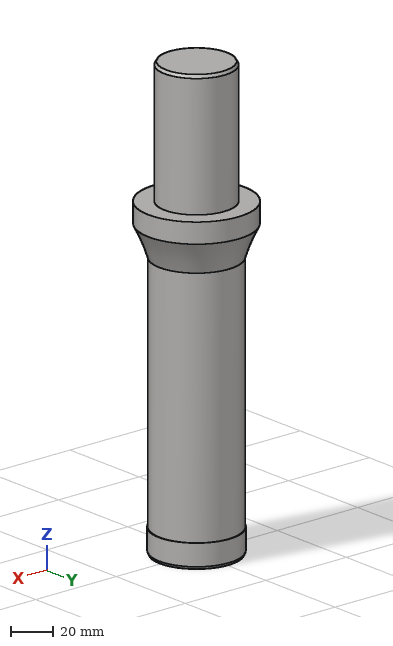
import cadquery as cq

total_height = 246.0
flange_radius = 30.0

rod_radius = 20.0
rod_length = 69.9
rod_chamfer_height = 1.7
rod_chamfer_inset = 1.0

flange_thickness = 11.0
neck_height = 17.0
neck_hollow = 0.5

shaft_diameter = 46.0
shaft_radius = shaft_diameter / 2
cap_radius = 23.4
cap_height = 13.3
cap_chamfer_height = 1.5
cap_chamfer_inset = 0.7

flange_top = total_height - rod_length
flange_bottom = flange_top - flange_thickness
neck_bottom = flange_bottom - neck_height


def make_post():
    """Revolved post: rod, flange, concave neck and shaft, standing on the cap."""
    neck_mid_radius = (flange_radius + shaft_radius) / 2 - neck_hollow
    neck_mid_level = (flange_bottom + neck_bottom) / 2
    return (
        cq.Workplane("XZ")
        .moveTo(shaft_radius, neck_bottom)
        .lineTo(shaft_radius, cap_height)
        .lineTo(0, cap_height)
        .lineTo(0, total_height)
        .lineTo(rod_radius - rod_chamfer_inset, total_height)
        .lineTo(rod_radius, total_height - rod_chamfer_height)
        .lineTo(rod_radius, flange_top)
        .lineTo(flange_radius, flange_top)
        .lineTo(flange_radius, flange_bottom)
        .threePointArc((neck_mid_radius, neck_mid_level), (shaft_radius, neck_bottom))
        .close()
        .revolve(360, (0, 0), (0, 1))
    )


def make_cap():
    """Disc under the shaft, slightly wider than it, with a chamfered lower rim."""
    return (
        cq.Workplane("XZ")
        .lineTo(cap_radius - cap_chamfer_inset, 0)
        .lineTo(cap_radius, cap_chamfer_height)
        .lineTo(cap_radius, cap_height)
        .lineTo(0, cap_height)
        .close()
        .revolve(360, (0, 0), (0, 1))
    )


post = make_post()
cap = make_cap()

result = cq.Compound.makeCompound([post.val(), cap.val()])